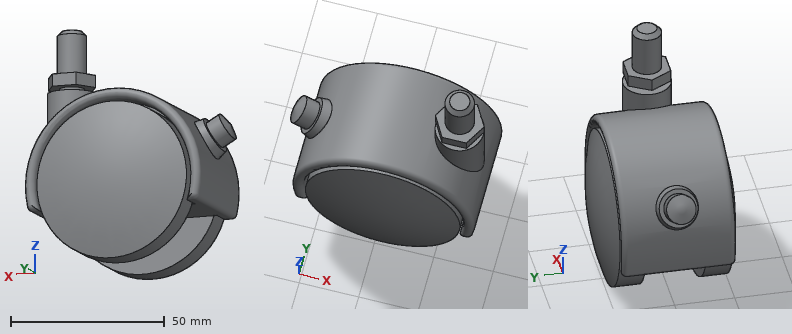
import cadquery as cq
import math


overall_height = 80.0
overall_width = 46.5

wheel_radius = 26.0
wheel_inner_y = 10.1
wheel_rim_y = 18.9
wheel_crown_y = overall_width / 2

hood_radius = 30.6
hood_half_width = wheel_rim_y
hood_bottom_z = -8.3
recess_radius = 27.0
rim_flat = 0.02
rim_round = (hood_radius - recess_radius - rim_flat) / 2

socket_x = 21.0
socket_radius = 8.0
socket_top_z = 33.3
socket_base_z = 0.0

button_angle = 29.4
button_radius = 4.9
button_shoulder = 38.1
button_tip = 39.4
collar_top = 33.0
collar_top_radius = 6.4
collar_base = 28.8
collar_draft = 14.0
collar_base_radius = collar_top_radius + (collar_top - collar_base) * math.tan(math.radians(collar_draft))

neck_radius = 4.1
hex_bottom_z = 35.0
hex_top_z = 39.0
hex_across_corners = 16.4
stem_radius = 4.8
stem_top_z = overall_height - wheel_radius
stem_chamfer = 1.5


def cylinder_along_y(radius, start_y, end_y):
    """Cylinder on the wheel axis between two Y positions."""
    return cq.Workplane("XZ", origin=(0, start_y, 0)).circle(radius).extrude(start_y - end_y)


def make_hood():
    """Cylindrical hood cut flat below, recessed for both wheels, with rounded rims."""
    hood = cylinder_along_y(hood_radius, -hood_half_width, hood_half_width)
    cut_height = hood_radius + hood_bottom_z
    below = cq.Workplane("XY").box(
        2 * hood_radius, 2 * hood_half_width, cut_height, centered=(True, True, False)
    ).translate((0, 0, -hood_radius))
    hood = hood.cut(below)
    for side in (-1, 1):
        recess = cylinder_along_y(recess_radius, side * wheel_inner_y, side * hood_half_width)
        hood = hood.cut(recess)
    lower_outer_edges = hood.faces("<Z").edges("<X or >X")
    rim_edges = hood.faces("<Y or >Y").edges()
    return hood.newObject(lower_outer_edges.vals() + rim_edges.vals()).fillet(rim_round)


def make_socket():
    """Upright cylinder that carries the stem, kept clear of the wheels."""
    socket = (
        cq.Workplane("XY", origin=(socket_x, 0, socket_base_z))
        .circle(socket_radius)
        .extrude(socket_top_z - socket_base_z)
    )
    return socket


def make_button():
    """Tapered collar and cone-ended button, turned about a radial axis."""
    profile = [
        (0, collar_base),
        (collar_base_radius, collar_base),
        (collar_top_radius, collar_top),
        (button_radius, collar_top),
        (button_radius, button_shoulder),
        (0, button_tip),
    ]
    upright = cq.Workplane("XZ").polyline(profile).close().revolve(360, (0, 0), (0, 1))
    return upright.rotate((0, 0, 0), (0, 1, 0), button_angle - 90)


def make_housing():
    """Hood, stem socket and button as one body."""
    return make_hood().union(make_socket()).union(make_button())


def make_wheel(side):
    """Wheel with a domed outer face; side is -1 or 1 along Y."""
    dome_rise = wheel_crown_y - wheel_rim_y
    dome_radius = (wheel_radius**2 + dome_rise**2) / (2 * dome_rise)
    mid_radius = wheel_radius / 2
    mid_y = wheel_crown_y - dome_radius + math.sqrt(dome_radius**2 - mid_radius**2)
    return (
        cq.Workplane("XY")
        .moveTo(0, side * wheel_inner_y)
        .lineTo(wheel_radius, side * wheel_inner_y)
        .lineTo(wheel_radius, side * wheel_rim_y)
        .threePointArc((mid_radius, side * mid_y), (0, side * wheel_crown_y))
        .close()
        .revolve(360, (0, 0), (0, 1))
    )


def make_stem():
    """Neck standing on the socket, hexagon and chamfered shaft."""
    neck = (
        cq.Workplane("XY", origin=(socket_x, 0, socket_top_z))
        .circle(neck_radius)
        .extrude(hex_bottom_z - socket_top_z)
    )
    hexagon = (
        cq.Workplane("XY", origin=(socket_x, 0, hex_bottom_z))
        .polygon(6, hex_across_corners)
        .extrude(hex_top_z - hex_bottom_z)
    )
    shaft = (
        cq.Workplane("XY", origin=(socket_x, 0, hex_top_z))
        .circle(stem_radius)
        .extrude(stem_top_z - hex_top_z)
        .faces(">Z")
        .chamfer(stem_chamfer)
    )
    return neck.union(hexagon).union(shaft)


housing = make_housing()
wheels = [make_wheel(side) for side in (-1, 1)]
stem = make_stem()

result = cq.Compound.makeCompound([housing.val(), *[wheel.val() for wheel in wheels], stem.val()])